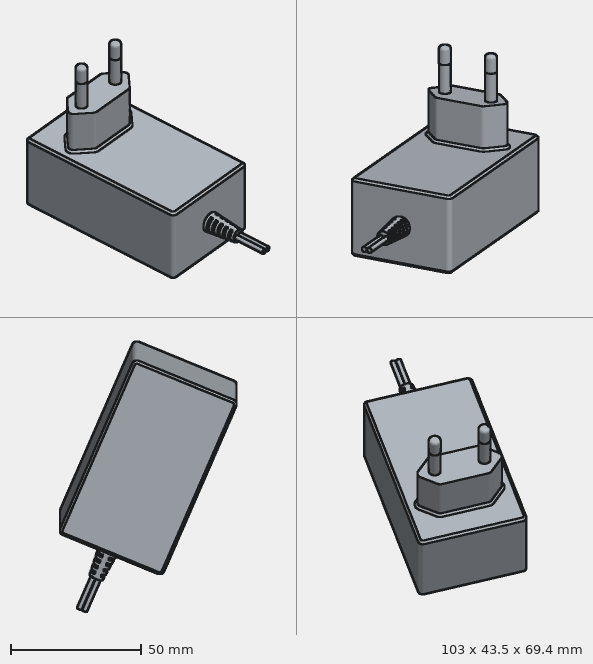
import cadquery as cq

total_length = 103.0

housing_length = 75.0
housing_width = 43.5
housing_height = 32.0
housing_corner_radius = 2.0
housing_edge_chamfer = 1.0

plug_x = 18.5
plug_height = 18.3
plug_half_width = 7.2
plug_shoulder_y = 10.2
plug_tip_y = 17.8
plug_corner_radius = 2.1
plug_flare = 1.0

tip_diameter = 4.7
sleeve_diameter = 4.6
pin_spacing = 20.0
pin_height = 19.1
tip_edge_radius = 1.4
sleeve_height = 11.8

relief_length = 14.0
relief_base_diameter = 8.2
relief_end_diameter = 5.6
relief_slot_count = 5
relief_rib_width = 1.5
relief_web_thickness = 2.7

wire_diameter = 2.1
wire_spacing = 2.2

plug_top = housing_height + plug_height
relief_end_x = housing_length + relief_length
cable_z = housing_height / 2


def make_housing():
    block = cq.Workplane("XY").box(
        housing_length, housing_width, housing_height, centered=(False, True, False)
    )
    block = block.edges("|Z").fillet(housing_corner_radius)
    return block.faces("<Z or >Z").chamfer(housing_edge_chamfer)


def make_plug_block():
    """Hexagonal prism with rounded corners, pointed toward +Y and -Y."""
    prism = (
        cq.Workplane("XY", origin=(plug_x, 0, housing_height))
        .moveTo(0, plug_tip_y)
        .lineTo(plug_half_width, plug_shoulder_y)
        .lineTo(plug_half_width, -plug_shoulder_y)
        .lineTo(0, -plug_tip_y)
        .lineTo(-plug_half_width, -plug_shoulder_y)
        .lineTo(-plug_half_width, plug_shoulder_y)
        .close()
        .extrude(plug_height)
    )
    return prism.edges("|Z").fillet(plug_corner_radius)


def flare_plug_foot(body):
    """Widen the plug block at 45 degrees where it meets the housing."""
    plug_center = cq.Vector(plug_x, 0, housing_height)
    foot_zone = cq.selectors.BoxSelector(
        plug_center - cq.Vector(plug_half_width + plug_flare, plug_tip_y, plug_flare / 2),
        plug_center + cq.Vector(plug_half_width + plug_flare, plug_tip_y, plug_flare / 2),
    )
    return body.edges(foot_zone).chamfer(plug_flare)


def make_pin(y):
    sleeve = (
        cq.Workplane("XY", origin=(plug_x, y, plug_top))
        .circle(sleeve_diameter / 2)
        .extrude(sleeve_height)
    )
    tip = (
        cq.Workplane("XY", origin=(plug_x, y, plug_top + sleeve_height))
        .circle(tip_diameter / 2)
        .extrude(pin_height - sleeve_height)
        .edges(">Z")
        .fillet(tip_edge_radius)
    )
    return sleeve.union(tip)


def make_strain_relief():
    relief = (
        cq.Workplane("YZ", origin=(housing_length, 0, cable_z))
        .circle(relief_base_diameter / 2)
        .workplane(offset=relief_length)
        .circle(relief_end_diameter / 2)
        .loft()
    )
    rib_pitch = (relief_length - relief_rib_width) / relief_slot_count
    slot_width = rib_pitch - relief_rib_width
    for index in range(relief_slot_count):
        slot_x = housing_length + index * rib_pitch + relief_rib_width + slot_width / 2
        for side in (-1, 1):
            slot_y = side * (relief_web_thickness + relief_base_diameter) / 2
            slot = cq.Workplane("XY", origin=(slot_x, slot_y, cable_z)).box(
                slot_width, relief_base_diameter, 2 * relief_base_diameter
            )
            relief = relief.cut(slot)
    return relief


def make_cable():
    return (
        cq.Workplane("YZ", origin=(relief_end_x, 0, cable_z))
        .pushPoints([(-wire_spacing / 2, 0), (wire_spacing / 2, 0)])
        .circle(wire_diameter / 2)
        .extrude(total_length - relief_end_x)
    )


result = flare_plug_foot(make_housing().union(make_plug_block()))
for pin_y in (-pin_spacing / 2, pin_spacing / 2):
    result = result.union(make_pin(pin_y))
result = result.union(make_strain_relief()).union(make_cable())